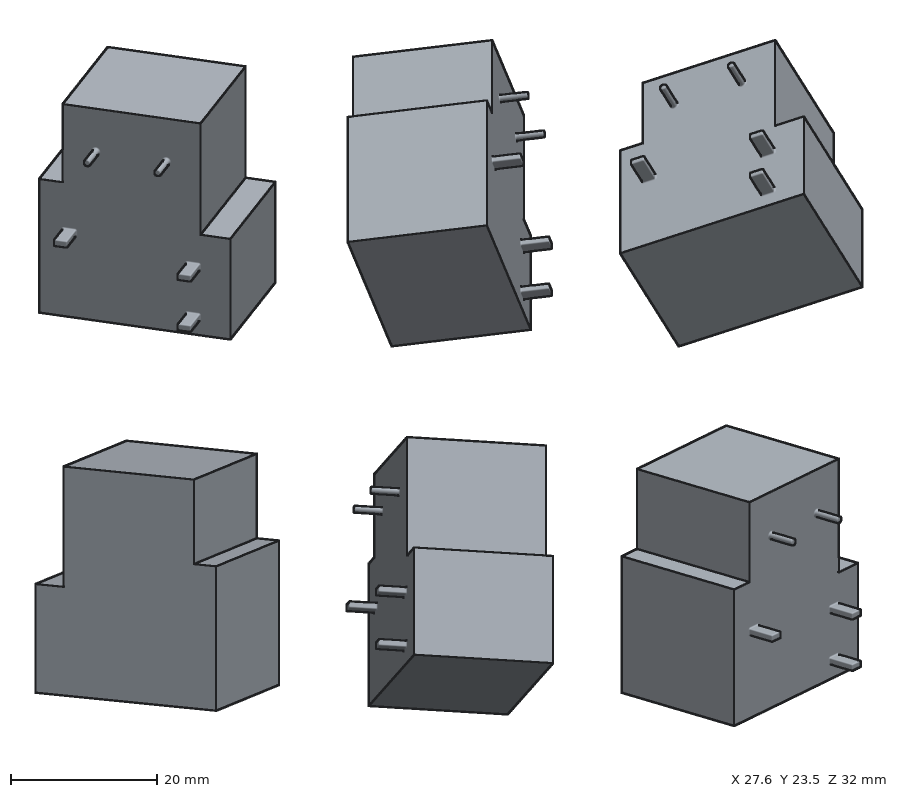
import cadquery as cq

housing_width = 27.6
housing_depth = 19.52
housing_height = 32.0
left_step_width = 3.4
left_step_height = 20.2
right_step_width = 4.3
right_step_height = 15.2

pin_length = 3.97
pin_thickness = 1.0
blade_width = 2.0
pin_fillet = 0.2

round_pin_height = 25.5
round_pin_centres = [(-5.57, round_pin_height), (4.6, round_pin_height)]
right_blade_x = 8.45
blade_centres = [(-9.4, 12.77), (right_blade_x, 10.27), (right_blade_x, 2.7)]


def make_housing():
    """Stepped outline in XZ, with the front face on Y = 0 and the depth toward +Y."""
    left = -housing_width / 2
    right = housing_width / 2
    outline = [
        (left, 0),
        (right, 0),
        (right, right_step_height),
        (right - right_step_width, right_step_height),
        (right - right_step_width, housing_height),
        (left + left_step_width, housing_height),
        (left + left_step_width, left_step_height),
        (left, left_step_height),
    ]
    return cq.Workplane("XZ").polyline(outline).close().extrude(-housing_depth)


def make_round_pins():
    """Round pins with a rounded tip."""
    pins = cq.Workplane("XZ").pushPoints(round_pin_centres)
    pins = pins.circle(pin_thickness / 2).extrude(pin_length)
    return pins.faces("<Y").edges().fillet(pin_fillet)


def make_blades():
    """Flat pins with rounded long edges and a rounded tip."""
    blades = cq.Workplane("XZ").pushPoints(blade_centres)
    blades = blades.rect(blade_width, pin_thickness).extrude(pin_length)
    blades = blades.edges("|Y").fillet(pin_fillet)
    return blades.faces("<Y").edges().fillet(pin_fillet)


def blend_pin_roots(body):
    """Fillet every pin where it meets the front face: the inner wires of that face."""
    front_face = body.faces(cq.NearestToPointSelector((0, 0, housing_height / 2))).val()
    root_edges = [edge for wire in front_face.innerWires() for edge in wire.Edges()]
    return body.newObject(root_edges).fillet(pin_fillet)


housing = make_housing()
result = blend_pin_roots(housing.union(make_round_pins()).union(make_blades()))